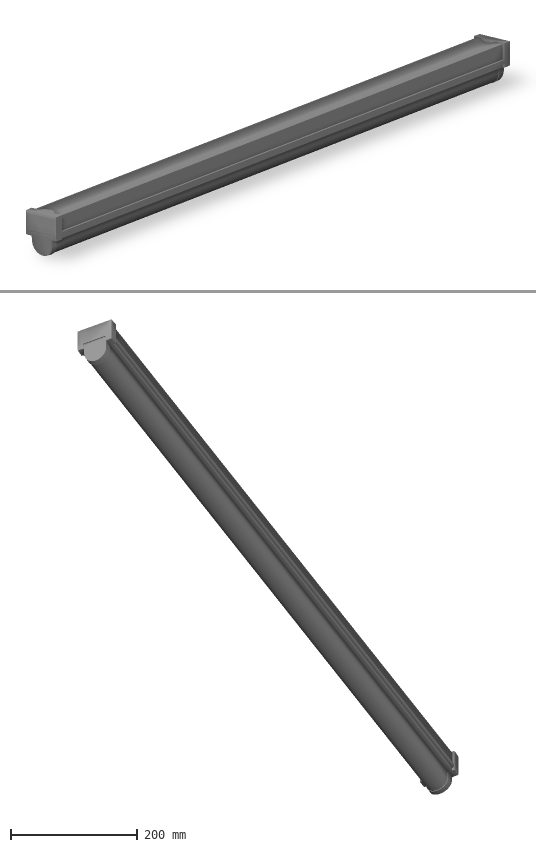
import cadquery as cq
import math

length = 1167.0
width = 62.0
height = 72.0
half_length = length / 2

lens_end_radius = 20.0
lens_radius = 19.0
lens_axis_height = lens_end_radius
lens_end_lift = 1.0

lens_top = 32.0
tray_top = 41.0
housing_top = 70.0

body_width = 54.0
flange_width = 61.0
flange_thickness = 4.0

cap_length = 15.0
cap_inner_y = half_length - cap_length
cap_draft = 0.5
rim_width = 4.0
rim_depth = 0.7
end_flat_bottom = 49.0
end_slope_top = 34.0
end_slope = math.radians(8)
lens_end_top = end_flat_bottom
end_arc_radius = (end_flat_bottom - end_slope_top) / math.sin(end_slope)

groove_bottom = 37.0
groove_height = 4.0
groove_depth = 1.0

tab_half_width = 15.0
tab_reach = 10.0

body_length = 2 * cap_inner_y


def bar(bar_width, bottom, top):
    """A rectangular bar that fills the space between the end caps."""
    return cq.Workplane("XY", origin=(0, 0, (bottom + top) / 2)).box(bar_width, body_length, top - bottom)


def lens_section(y, radius, axis_height, top):
    """A closed outline in the plane at y: a half round about axis_height, straight sides and a flat top."""
    return (
        cq.Workplane("XZ", origin=(0, y, 0))
        .moveTo(-radius, top)
        .lineTo(-radius, axis_height)
        .threePointArc((0, axis_height - radius), (radius, axis_height))
        .lineTo(radius, top)
        .close()
    )


def make_housing():
    """The upper channel with a flange along each lower edge."""
    flange = bar(flange_width, tray_top, tray_top + flange_thickness)
    return bar(body_width, tray_top, housing_top).union(flange)


def make_tray():
    """The lamp tray under the housing, with a matching flange along each upper edge."""
    flange = bar(flange_width, tray_top - flange_thickness, tray_top)
    return bar(body_width, lens_top, tray_top).union(flange)


def make_lens():
    """The half-round lens under the tray."""
    return lens_section(cap_inner_y, lens_radius, lens_axis_height, lens_top).extrude(body_length)


def end_inset(z):
    """How far the curved stretch of the end face lies inside its flat stretch, at height z."""
    drop = end_flat_bottom - z
    return end_arc_radius - math.sqrt(end_arc_radius**2 - drop**2)


def end_profile():
    """The side outline shared by the cap and the lens end, with its curved and sloped end face."""
    arc_mid_z = (end_flat_bottom + end_slope_top) / 2
    slope_top_y = half_length - end_inset(end_slope_top)
    slope_bottom_y = slope_top_y - end_slope_top * math.tan(end_slope)
    return (
        cq.Workplane("YZ")
        .moveTo(cap_inner_y, 0)
        .lineTo(cap_inner_y, height)
        .lineTo(half_length - rim_depth, height - cap_draft)
        .lineTo(half_length, height - cap_draft - rim_width)
        .lineTo(half_length, end_flat_bottom)
        .threePointArc((half_length - end_inset(arc_mid_z), arc_mid_z), (slope_top_y, end_slope_top))
        .lineTo(slope_bottom_y, 0)
        .close()
        .extrude(width / 2, both=True)
    )


def make_tab():
    """The rounded tab that reaches from a cap over the top of the housing."""
    return (
        cq.Workplane("XY", origin=(0, 0, housing_top))
        .moveTo(-tab_half_width, cap_inner_y)
        .threePointArc((0, cap_inner_y - tab_reach), (tab_half_width, cap_inner_y))
        .close()
        .extrude(height - housing_top)
    )


def make_cap():
    """The +Y end cap, tapered outward, bevelled at the end and notched for the lens end."""
    inner_x = width / 2
    outer_x = inner_x - cap_draft
    face_x = outer_x - rim_width
    plan = (
        cq.Workplane("XY", origin=(0, 0, lens_top))
        .polyline([
            (-inner_x, cap_inner_y),
            (-outer_x, half_length - rim_depth),
            (-face_x, half_length),
            (face_x, half_length),
            (outer_x, half_length - rim_depth),
            (inner_x, cap_inner_y),
        ])
        .close()
        .extrude(height - lens_top)
    )
    notch = (
        cq.Workplane("XY", origin=(0, cap_inner_y + cap_length / 2, (lens_end_top + lens_top) / 2))
        .box(2 * lens_end_radius, cap_length, lens_end_top - lens_top)
    )
    return end_profile().intersect(plan).cut(notch).union(make_tab())


def make_lens_end():
    """The +Y end piece of the lens, whose top fits in the notch of the cap."""
    inner = lens_section(cap_inner_y, lens_end_radius, lens_axis_height, lens_end_top)
    outer = lens_section(half_length, lens_end_radius, lens_axis_height + lens_end_lift, lens_end_top)
    tapered = cq.Solid.makeLoft([inner.val(), outer.val()], True)
    groove = (
        cq.Workplane("XY", origin=(0, half_length, groove_bottom + groove_height / 2))
        .box(2 * lens_end_radius, 2 * (end_inset(groove_bottom) + groove_depth), groove_height)
    )
    return end_profile().intersect(cq.Workplane(tapered)).cut(groove)


housing = make_housing()
tray = make_tray()
lens = make_lens()

caps = []
lens_ends = []
for turn in (0, 180):
    caps.append(make_cap().rotate((0, 0, 0), (0, 0, 1), turn).val())
    lens_ends.append(make_lens_end().rotate((0, 0, 0), (0, 0, 1), turn).val())

result = cq.Compound.makeCompound([housing.val(), tray.val(), lens.val(), *caps, *lens_ends])